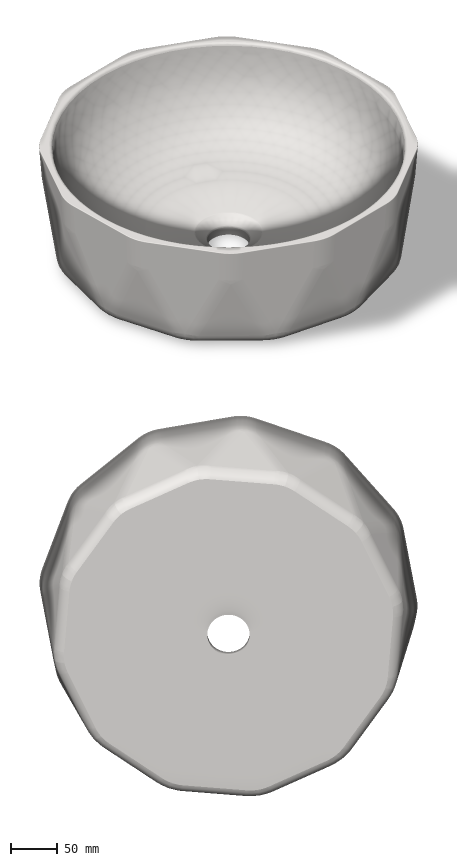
import cadquery as cq
import math

sides = 12
height = 135.0
rim_across_corners = 410.5
twist = -0.7

upper_tilt = 4.0
lower_tilt = 10.8
lower_base_apothem = 184.3
edge_radius = 50.0
base_radius = 17.5
base_trim = 1.2
rim_edge_radius = 1.0
root_depth = 24.5

bowl_radius = 191.2
lip_radius = 3.3
floor_radius = 90.3
floor_height = 25.5

flare_radius = 36.5
flare_height = 19.5
drain_radius = 23.0
drain_top = 10.5
flare_edge_radius = 2.0

half_step = math.pi / sides
corner_loss = edge_radius * (1 / math.cos(half_step) - 1)
lean = math.radians(upper_tilt)
rim_loss = rim_edge_radius * (math.tan(lean) + 1 / math.cos(lean) - 1)
sharp_corner_radius = rim_across_corners / 2 + corner_loss + rim_loss
upper_rim_apothem = sharp_corner_radius * math.cos(half_step)
lower_rim_apothem = lower_base_apothem + height * math.tan(math.radians(lower_tilt))


def faceted_cone(rim_apothem, tilt, turn):
    """Twelve-sided body narrowing downward from the rim, its facets leaning by tilt."""
    return (
        cq.Workplane("XY", origin=(0, 0, height))
        .polygon(sides, 2 * rim_apothem / math.cos(half_step))
        .extrude(-(height + root_depth), taper=tilt)
        .rotate((0, 0, 0), (0, 0, 1), turn)
    )


def level_cutter(top):
    """Disc wider than the body, for cutting it level at the height of the disc's top."""
    return cq.Workplane("XY", origin=(0, 0, top)).circle(rim_across_corners).extrude(-root_depth)


def faceted_body():
    """Upper and lower facets crossing in a zigzag of softened edges."""
    upper = faceted_cone(upper_rim_apothem, upper_tilt, twist)
    lower = faceted_cone(lower_rim_apothem, lower_tilt, twist + math.degrees(half_step))
    body = upper.intersect(lower).edges("not(#Z)").fillet(edge_radius)
    body = body.cut(level_cutter(-base_trim)).faces("<Z").edges().fillet(base_radius)
    body = body.cut(level_cutter(0))
    return body.faces(">Z").edges().fillet(rim_edge_radius)


def bowl():
    """Space inside the basin: curved wall, sloping floor and a flared drain with soft edges."""
    space = (
        cq.Workplane("XZ")
        .lineTo(drain_radius, 0)
        .lineTo(drain_radius, drain_top)
        .lineTo(flare_radius, flare_height)
        .lineTo(floor_radius, floor_height)
        .tangentArcPoint((bowl_radius, height), relative=False)
        .lineTo(0, height)
        .close()
        .revolve(360, (0, 0, 0), (0, 1, 0))
    )
    flare_bottom = cq.selectors.NearestToPointSelector((0, 0, drain_top))
    flare_top = cq.selectors.NearestToPointSelector((0, 0, flare_height))
    return space.edges(flare_bottom + flare_top).fillet(flare_edge_radius)


basin = faceted_body().cut(bowl())
lip = basin.faces(">Z").edges(cq.selectors.RadiusNthSelector(-1))
result = lip.fillet(lip_radius)